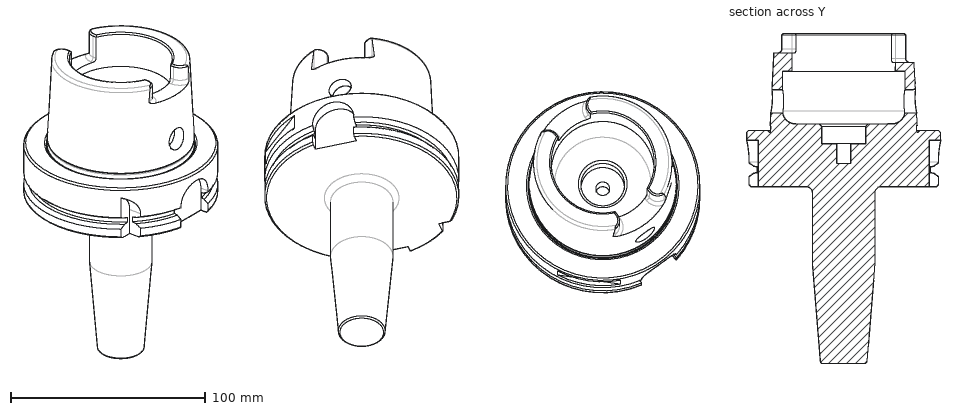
import cadquery as cq


overall_length = 170.0

taper_height = 50.0
taper_base_radius = 37.9
taper_top_radius = 35.5
taper_start = 2.5
rim_rounding = 1.7
neck_radius = 37.5
neck_top = 2.0
neck_bottom = 1.4
face_relief_radius = 39.3
face_relief_depth = 0.8

flange_radius = 50.0
flange_thickness = 29.0
flange_chamfer = 1.0
groove_middle = -20.2
groove_mouth_width = 6.8
groove_neck_width = 3.5
groove_floor_width = 2.7
groove_neck_radius = 47.6
groove_floor_radius = 45.9

shank_radius = 16.2
shank_fillet = 3.0
nose_start = -69.0
nose_end = taper_height - overall_length
nose_tip_radius = 12.0
nose_chamfer = 0.8

bore_radius = 26.5
rim_chamfer = 0.8
lip_bottom = 30.5
chamber_radius = 31.5
chamber_bottom = 10.0
chamber_fillet = 6.6
cavity_floor = chamber_bottom - chamber_fillet
socket_radius = 11.2
socket_chamfer = 1.4
socket_depth = 10.2
coolant_radius = 3.5
coolant_depth = 10.2

rim_slot_width = 20.4
rim_slot_shoulder = 32.0
rim_slot_corner = 5.5
rim_slot_fillet = 1.9
rim_slot_reach = flange_radius
selection_margin = 0.2
deep_rim_slot = 15.0
shallow_rim_slot = 10.0

cross_hole_radius = 6.0
cross_hole_height = 15.0

drive_slot_width = 22.1
drive_slot_floor = 44.0
drive_slot_top = -5.1
corner_notch_width = 20.0
corner_notch_floor = 31.5
corner_notch_wall = -31.6
label_flat_angle = 135
label_flat_distance = 47.3
label_flat_top = -4.0
label_flat_height = 8.3


def turned_body():
    """Solid of revolution: taper, relief, flange with gripper groove, shank and nose."""
    flange_bottom = -flange_thickness
    profile = (
        cq.Workplane("XZ")
        .moveTo(0, taper_height)
        .lineTo(taper_top_radius, taper_height)
        .lineTo(taper_base_radius, taper_start)
        .lineTo(neck_radius, neck_top)
        .lineTo(neck_radius, neck_bottom)
        .lineTo(taper_base_radius, -face_relief_depth)
        .lineTo(face_relief_radius - face_relief_depth, -face_relief_depth)
        .lineTo(face_relief_radius, 0)
        .lineTo(flange_radius - flange_chamfer, 0)
        .lineTo(flange_radius, -flange_chamfer)
        .lineTo(flange_radius, groove_middle + groove_mouth_width / 2)
        .lineTo(groove_neck_radius, groove_middle + groove_neck_width / 2)
        .lineTo(groove_floor_radius, groove_middle + groove_floor_width / 2)
        .lineTo(groove_floor_radius, groove_middle - groove_floor_width / 2)
        .lineTo(groove_neck_radius, groove_middle - groove_neck_width / 2)
        .lineTo(flange_radius, groove_middle - groove_mouth_width / 2)
        .lineTo(flange_radius, flange_bottom + flange_chamfer)
        .lineTo(flange_radius - flange_chamfer, flange_bottom)
        .lineTo(shank_radius + shank_fillet, flange_bottom)
        .radiusArc((shank_radius, flange_bottom - shank_fillet), -shank_fillet)
        .lineTo(shank_radius, nose_start)
        .lineTo(nose_tip_radius, nose_end + nose_chamfer)
        .lineTo(nose_tip_radius - nose_chamfer, nose_end)
        .lineTo(0, nose_end)
        .close()
    )
    body = profile.revolve(360, (0, 0), (0, 1))
    return body.faces(">Z").edges().fillet(rim_rounding)


def cavity():
    """Stepped hollow of the taper with a socket and a coolant bore in its floor."""
    socket_floor = cavity_floor - socket_depth
    coolant_floor = socket_floor - coolant_depth
    return (
        cq.Workplane("XZ")
        .moveTo(0, taper_height)
        .lineTo(bore_radius + rim_chamfer, taper_height)
        .lineTo(bore_radius, taper_height - rim_chamfer)
        .lineTo(bore_radius, lip_bottom)
        .lineTo(chamber_radius, lip_bottom)
        .lineTo(chamber_radius, chamber_bottom)
        .radiusArc((chamber_radius - chamber_fillet, cavity_floor), chamber_fillet)
        .lineTo(socket_radius + socket_chamfer, cavity_floor)
        .lineTo(socket_radius, cavity_floor - socket_chamfer)
        .lineTo(socket_radius, socket_floor)
        .lineTo(coolant_radius, socket_floor)
        .lineTo(coolant_radius, coolant_floor)
        .lineTo(0, coolant_floor)
        .close()
        .revolve(360, (0, 0), (0, 1))
    )


def rim_slot_outline(height, growth):
    """Outline on the +X side of a slot that flares over rounded corners to a flat shoulder."""
    half_width = rim_slot_width / 2 + growth
    shoulder = rim_slot_shoulder - growth
    corner = rim_slot_corner - growth
    corner_start = shoulder - corner
    corner_end = half_width + corner
    return (
        cq.Workplane("XY", origin=(0, 0, height))
        .moveTo(0, -half_width)
        .lineTo(corner_start, -half_width)
        .radiusArc((shoulder, -corner_end), corner)
        .lineTo(shoulder, -rim_slot_reach)
        .lineTo(rim_slot_reach, -rim_slot_reach)
        .lineTo(rim_slot_reach, rim_slot_reach)
        .lineTo(shoulder, rim_slot_reach)
        .lineTo(shoulder, corner_end)
        .radiusArc((corner_start, half_width), corner)
        .lineTo(0, half_width)
        .close()
    )


def rim_slot(depth):
    """Cutter for a rim slot with a rounded foot and a chamfered upper edge."""
    floor = taper_height - depth
    wall_edges = cq.selectors.BoxSelector(
        (selection_margin, selection_margin - rim_slot_reach, floor - selection_margin),
        (rim_slot_shoulder + selection_margin, rim_slot_reach - selection_margin, floor + selection_margin),
    )
    slot = rim_slot_outline(floor, 0).extrude(depth).edges(wall_edges).fillet(rim_slot_fillet)
    chamfer = rim_slot_outline(taper_height, rim_chamfer).extrude(-rim_chamfer, taper=45)
    return slot.union(chamfer)


def cross_hole():
    """Round hole along X through both walls of the taper."""
    return (
        cq.Workplane("YZ", origin=(-flange_radius, 0, cross_hole_height))
        .circle(cross_hole_radius)
        .extrude(2 * flange_radius)
    )


def arched_slot(width, top, floor):
    """Cutter on the +X side: a round-topped slot with a flat floor, open downwards."""
    radius = width / 2
    arch_base = top - radius
    return (
        cq.Workplane("YZ", origin=(floor, 0, 0))
        .moveTo(-radius, -flange_thickness)
        .lineTo(-radius, arch_base)
        .threePointArc((0, top), (radius, arch_base))
        .lineTo(radius, -flange_thickness)
        .close()
        .extrude(flange_radius)
    )


def corner_notch():
    """Arched slot on the +X, -Y part of the rim, broken out through the side."""
    slot = arched_slot(corner_notch_width, drive_slot_top, corner_notch_floor)
    return slot.translate((0, corner_notch_wall - corner_notch_width / 2, 0))


def label_flat():
    """Flat cut into the rim halfway between -X and +Y."""
    return (
        cq.Workplane("XY")
        .box(flange_radius, flange_radius * 2, label_flat_height, centered=(False, True, False))
        .translate((label_flat_distance, 0, label_flat_top - label_flat_height))
        .rotate((0, 0, 0), (0, 0, 1), label_flat_angle)
    )


def opposite(cutter):
    """Turn a +X cutter round to the -X side."""
    return cutter.rotate((0, 0, 0), (0, 0, 1), 180)


drive_slot = arched_slot(drive_slot_width, drive_slot_top, drive_slot_floor)
cutters = [
    cavity(),
    rim_slot(shallow_rim_slot),
    opposite(rim_slot(deep_rim_slot)),
    cross_hole(),
    drive_slot,
    opposite(drive_slot),
    corner_notch(),
    label_flat(),
]

result = turned_body()
for cutter in cutters:
    result = result.cut(cutter)